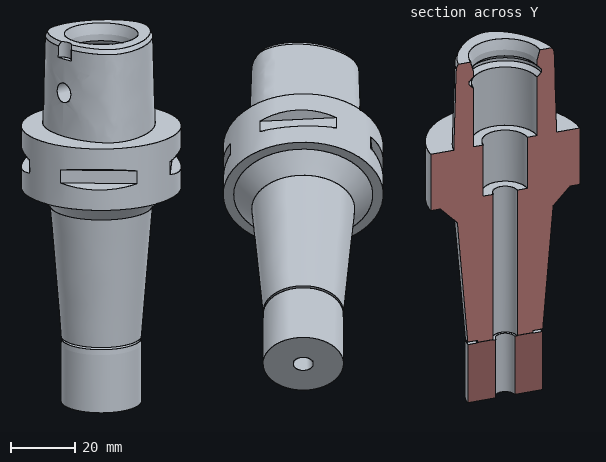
import cadquery as cq
import math

TOTAL_HEIGHT = 120.0

NUT_RADIUS = 12.6
NUT_HEIGHT = 20.6
NUT_RELIEF_HEIGHT = 1.8
NUT_RELIEF_DEPTH = 0.1
NUT_BORE_RADIUS = 3.1

NECK_RADIUS = 9.4
NECK_HEIGHT = 0.7
SHAFT_TOP_RADIUS = 16.1
CONE_TOP_RADIUS = 21.7
CONE_HEIGHT = 5.9

FLANGE_RADIUS = 25.02
FLANGE_HEIGHT = 20.0
SLOT_FLOOR_DISTANCE = 22.0
SLOT_FLOOR_WIDTH = 4.2
SLOT_MOUTH_WIDTH = 6.7
SLOT_COUNT = 4

SHANK_HEIGHT = 30.0
SHANK_MEAN_RADIUS = 17.58
SHANK_TOP_MEAN_RADIUS = 16.8
LOBE_RISE = 1.14
SHANK_CHAMFER_HEIGHT = 1.5
SHANK_CHAMFER_WIDTH = 0.7
OUTLINE_POINTS = 48

MOUTH_RADIUS = 11.5
MOUTH_DEPTH = 3.5
BORE_RADIUS = 10.5
LIP_END_DEPTH = 5.5
GROOVE_RADIUS = 12.0
GROOVE_FLOOR_END_DEPTH = 8.0
GROOVE_FLANK = GROOVE_RADIUS - BORE_RADIUS
BORE_DEPTH = SHANK_HEIGHT
DRAWBAR_RADIUS = 7.3
DRAWBAR_DEPTH = 48.0
COOLANT_RADIUS = 4.0

NOTCH_RADIUS = 3.5
NOTCH_CENTRE_Y = -17.4
NOTCH_DEPTH = 5.0
CROSS_HOLE_RADIUS = 3.1
CROSS_HOLE_DEPTH = 16.0

shaft_bottom = NUT_HEIGHT + NECK_HEIGHT
shank_bottom = TOTAL_HEIGHT - SHANK_HEIGHT
flange_bottom = shank_bottom - FLANGE_HEIGHT
shaft_top = flange_bottom - CONE_HEIGHT
shank_chamfer_bottom = TOTAL_HEIGHT - SHANK_CHAMFER_HEIGHT


def revolve_profile(points):
    """Revolve a closed (radius, height) outline around Z."""
    return cq.Workplane("XZ").polyline(points).close().revolve(360, (0, 0), (0, 1))


def lobed_wire(mean_radius, height):
    """Closed three-lobed curve of constant width, with one lobe toward +Y."""
    points = []
    for index in range(OUTLINE_POINTS):
        angle = 2 * math.pi * index / OUTLINE_POINTS - math.pi / 2
        phase = 3 * (angle - math.pi / 2)
        support = mean_radius + LOBE_RISE * math.cos(phase)
        slope = -3 * LOBE_RISE * math.sin(phase)
        x = support * math.cos(angle) - slope * math.sin(angle)
        y = support * math.sin(angle) + slope * math.cos(angle)
        points.append(cq.Vector(x, y, height))
    return cq.Wire.assembleEdges([cq.Edge.makeSpline(points, periodic=True)])


def make_shank():
    """Lobed taper with a chamfered top edge."""
    chamfer_base = lobed_wire(SHANK_TOP_MEAN_RADIUS, shank_chamfer_bottom)
    top = lobed_wire(SHANK_TOP_MEAN_RADIUS - SHANK_CHAMFER_WIDTH, TOTAL_HEIGHT)
    bottom = lobed_wire(SHANK_MEAN_RADIUS, shank_bottom)
    taper = cq.Solid.makeLoft([bottom, chamfer_base], True)
    tip = cq.Solid.makeLoft([chamfer_base, top], True)
    return cq.Workplane(taper).union(cq.Workplane(tip))


def make_turned_body():
    """Neck, tapered shaft, cone and flange."""
    return revolve_profile([
        (0, NUT_HEIGHT),
        (NECK_RADIUS, NUT_HEIGHT),
        (NECK_RADIUS, shaft_bottom),
        (NUT_RADIUS, shaft_bottom),
        (SHAFT_TOP_RADIUS, shaft_top),
        (CONE_TOP_RADIUS, flange_bottom),
        (FLANGE_RADIUS, flange_bottom),
        (FLANGE_RADIUS, shank_bottom),
        (0, shank_bottom),
    ])


def make_bore():
    """Stepped through bore with a tapered mouth and an internal clamping groove."""
    steps = [
        (MOUTH_RADIUS, 0),
        (BORE_RADIUS, MOUTH_DEPTH),
        (BORE_RADIUS, LIP_END_DEPTH),
        (GROOVE_RADIUS, LIP_END_DEPTH + GROOVE_FLANK),
        (GROOVE_RADIUS, GROOVE_FLOOR_END_DEPTH),
        (BORE_RADIUS, GROOVE_FLOOR_END_DEPTH + GROOVE_FLANK),
        (BORE_RADIUS, BORE_DEPTH),
        (DRAWBAR_RADIUS, BORE_DEPTH),
        (DRAWBAR_RADIUS, DRAWBAR_DEPTH),
        (COOLANT_RADIUS, DRAWBAR_DEPTH),
        (COOLANT_RADIUS, TOTAL_HEIGHT - NUT_HEIGHT),
        (0, TOTAL_HEIGHT - NUT_HEIGHT),
        (0, 0),
    ]
    return revolve_profile([(radius, TOTAL_HEIGHT - depth) for radius, depth in steps])


def make_gripper_slot(angle):
    """Straight slot cutter with sloping sides, at the given angle around Z."""
    middle = shank_bottom - FLANGE_HEIGHT / 2
    half_floor = SLOT_FLOOR_WIDTH / 2
    half_mouth = SLOT_MOUTH_WIDTH / 2
    slot = (
        cq.Workplane("XZ")
        .polyline([
            (SLOT_FLOOR_DISTANCE, middle - half_floor),
            (FLANGE_RADIUS, middle - half_mouth),
            (FLANGE_RADIUS, middle + half_mouth),
            (SLOT_FLOOR_DISTANCE, middle + half_floor),
        ])
        .close()
        .extrude(FLANGE_RADIUS, both=True)
    )
    return slot.rotate((0, 0, 0), (0, 0, 1), angle)


def make_key_notch():
    """Vertical round notch cutter in the top edge of the shank."""
    return (
        cq.Workplane("XY", origin=(0, NOTCH_CENTRE_Y, TOTAL_HEIGHT - NOTCH_DEPTH))
        .circle(NOTCH_RADIUS)
        .extrude(NOTCH_DEPTH)
    )


def make_cross_hole():
    """Radial hole cutter from the -Y side into the bore."""
    return (
        cq.Workplane("XZ", origin=(0, 0, TOTAL_HEIGHT - CROSS_HOLE_DEPTH))
        .circle(CROSS_HOLE_RADIUS)
        .extrude(FLANGE_RADIUS)
    )


def make_holder():
    body = make_turned_body().union(make_shank()).cut(make_bore())
    for index in range(SLOT_COUNT):
        body = body.cut(make_gripper_slot(360 / SLOT_COUNT * (index + 0.5)))
    return body.cut(make_key_notch()).cut(make_cross_hole()).solids()


def make_nut():
    """Plain round nut with a slightly relieved upper edge and a through bore."""
    return revolve_profile([
        (NUT_BORE_RADIUS, 0),
        (NUT_RADIUS, 0),
        (NUT_RADIUS, NUT_HEIGHT - NUT_RELIEF_HEIGHT),
        (NUT_RADIUS - NUT_RELIEF_DEPTH, NUT_HEIGHT),
        (NUT_BORE_RADIUS, NUT_HEIGHT),
    ])


holder = make_holder()
nut = make_nut()

result = cq.Compound.makeCompound([holder.val(), nut.val()])